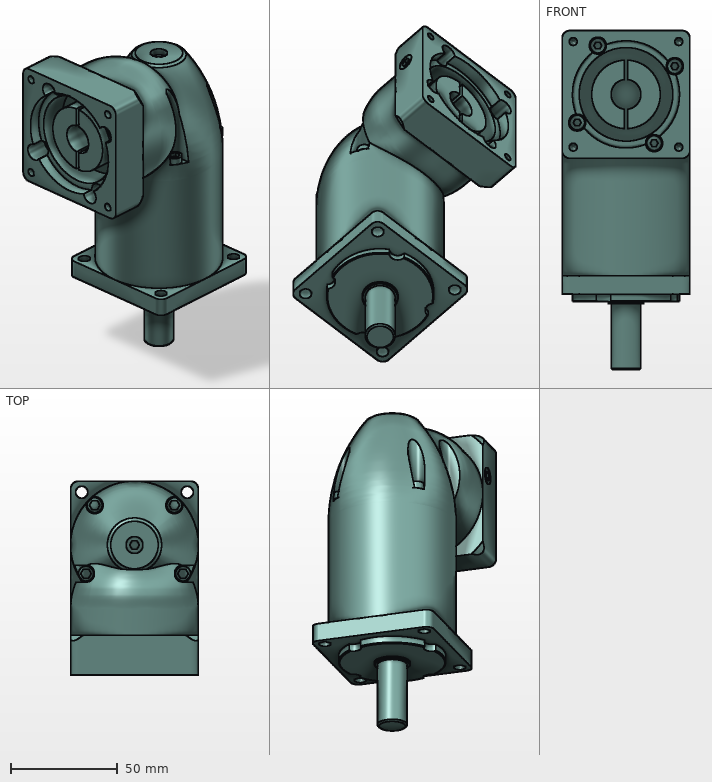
import cadquery as cq
import math


overall_height = 159
overall_depth = 91.0

flange_width = 60.0
corner_radius = 3.8
body_radius = flange_width / 2
corner_hole_pitch = 49.5
screw_circle_radius = 26.4

flange_thickness = 8.6
flange_hole_diameter = 5.5
pilot_radius = 25.1
pilot_height = 3.5
pilot_chamfer = 0.5
collar_radius = 8.5
collar_height = 1.1
collar_chamfer = 0.3
shaft_radius = 7.0
shaft_end_z = -35.5
shaft_chamfer = 0.8
recess_diameter = 8.0
pilot_recess_angle = -25

dome_base_z = 65.7
dome_middle_z = 91.0
dome_middle_radius = 26.2
dome_top_z = 117.8
dome_top_radius = 12.7
dome_top_chamfer_width = 1.6
dome_top_chamfer_height = 1.0

slot_floor_z = 73.8
rear_slot_angle = 45
front_slot_angle = -30.5

screw_head_diameter = 7.0
screw_head_height = 3.3
housing_socket_width = 4.3
adapter_socket_width = 3.2
screw_socket_depth = 1.9

plug_hole_diameter = 8.0
top_plug_depth = 3.2
side_plug_depth = 0.2
plug_socket_width = 4.0
plug_socket_depth = 1.9

input_axis_z = shaft_end_z + overall_height - flange_width / 2
input_round_y = -29.7
input_round_radius = 30.8
adapter_front_y = flange_width / 2 - overall_depth
adapter_thickness = 18.6
adapter_back_y = adapter_front_y + adapter_thickness
back_corner_radius = 38.5
back_corner_slope_width = 2.5
back_corner_depth = 2.7
motor_recess_radius = 25.1
motor_recess_depth = 5.5
cavity_radius = 22.0
motor_hole_diameter = 3.7
motor_hole_depth = 8.0
drill_point_angle = 118
adapter_screw_angle = 30
adapter_screw_recess_depth = 14.3
side_plug_y = -49.3
side_plug_height = 11.1

hub_radius = 16.0
hub_face_y = -55.3
hub_length = adapter_back_y - hub_face_y
hub_bore_radius = 7.0
hub_slot_width = 1.6


def at_angle(angle):
    """Point of the screw circle at an angle in degrees."""
    turn = math.radians(angle)
    return screw_circle_radius * math.cos(turn), screw_circle_radius * math.sin(turn)


def quarter_turns(start_angle):
    """Four points of the screw circle, a quarter turn apart."""
    return [at_angle(start_angle + 90 * step) for step in range(4)]


def hexagon(plane, width, depth):
    """Hexagonal prism growing along the plane's normal, sized across its flats."""
    return cq.Workplane(plane).polygon(6, width / math.cos(math.pi / 6)).extrude(depth)


def screw_head(base, socket_width):
    """Socket head standing on a plane whose normal points out of the part."""
    head = cq.Workplane(base).circle(screw_head_diameter / 2).extrude(screw_head_height)
    top = cq.Workplane(base).workplane(offset=screw_head_height).plane
    return head.cut(hexagon(top, socket_width, -screw_socket_depth))


def plug_recess(mouth, depth):
    """Round recess with a hexagon socket in its floor; the normal points out of the part."""
    recess = cq.Workplane(mouth).circle(plug_hole_diameter / 2).extrude(-depth)
    return recess.union(hexagon(mouth, plug_socket_width, -depth - plug_socket_depth))


def input_plane(y):
    """Plane across the input axis at a given Y, facing -Y."""
    return cq.Plane(origin=(0, y, input_axis_z), xDir=(1, 0, 0), normal=(0, -1, 0))


def square_flange(plane, thickness):
    return (
        cq.Workplane(plane)
        .rect(flange_width, flange_width)
        .extrude(thickness)
        .edges("|Z" if plane.zDir.z else "|Y")
        .fillet(corner_radius)
    )


def output_column():
    """Tube, dome and its chamfered flat top, turned about Z."""
    chamfer_z = dome_top_z - dome_top_chamfer_height
    return (
        cq.Workplane("XZ")
        .lineTo(body_radius, 0)
        .lineTo(body_radius, dome_base_z)
        .threePointArc((dome_middle_radius, dome_middle_z), (dome_top_radius, chamfer_z))
        .lineTo(dome_top_radius - dome_top_chamfer_width, dome_top_z)
        .lineTo(0, dome_top_z)
        .close()
        .revolve(360, (0, 0), (0, 1))
    )


def input_barrel():
    """Barrel along the input axis with a ball-shaped inner end."""
    arc_center_x = body_radius - input_round_radius
    nose_y = input_round_y + math.sqrt(input_round_radius**2 - arc_center_x**2)
    return (
        cq.Workplane("XY")
        .moveTo(0, adapter_back_y)
        .lineTo(body_radius, adapter_back_y)
        .lineTo(body_radius, input_round_y)
        .radiusArc((0, nose_y), -input_round_radius)
        .close()
        .revolve(360, (0, 0), (0, 1))
        .translate((0, 0, input_axis_z))
    )


def output_flange():
    holes = (
        cq.Workplane("XY")
        .rect(corner_hole_pitch, corner_hole_pitch, forConstruction=True)
        .vertices()
        .circle(flange_hole_diameter / 2)
        .extrude(flange_thickness)
    )
    return square_flange(cq.Plane.XY(), flange_thickness).cut(holes)


def output_pilot():
    """Centring disc with four round screw recesses in its rim."""
    pilot = (
        cq.Workplane("XY")
        .circle(pilot_radius)
        .extrude(-pilot_height)
        .faces("<Z")
        .chamfer(pilot_chamfer)
    )
    recesses = (
        cq.Workplane("XY")
        .pushPoints(quarter_turns(pilot_recess_angle))
        .circle(recess_diameter / 2)
        .extrude(-pilot_height)
    )
    return pilot.cut(recesses)


def output_shaft():
    collar = (
        cq.Workplane("XY")
        .circle(collar_radius)
        .extrude(-pilot_height - collar_height)
        .faces("<Z")
        .chamfer(collar_chamfer)
    )
    shaft = cq.Workplane("XY").circle(shaft_radius).extrude(shaft_end_z).faces("<Z").chamfer(shaft_chamfer)
    return collar.union(shaft)


def rear_slot_cutter(point):
    """Upright round slot that breaks out of the dome."""
    return (
        cq.Workplane("XY")
        .circle(recess_diameter / 2)
        .extrude(dome_top_z - slot_floor_z)
        .translate((*point, slot_floor_z))
    )


def front_slot_cutter(point):
    """Upright round-backed slot that opens sideways out of the dome."""
    x, y = point
    mouth_length = math.copysign(body_radius, x)
    mouth = (
        cq.Workplane("XY")
        .rect(body_radius, recess_diameter)
        .extrude(dome_top_z - slot_floor_z)
        .translate((x + mouth_length / 2, y, slot_floor_z))
    )
    return rear_slot_cutter(point).union(mouth)


def clamping_hub():
    """Split, bored hub standing on the end of the input barrel."""
    hub = cq.Workplane(input_plane(adapter_back_y)).circle(hub_radius).extrude(hub_length)
    face = cq.Workplane(input_plane(hub_face_y))
    slot = face.rect(hub_slot_width, 2 * hub_radius).extrude(-hub_length)
    bore = face.circle(hub_bore_radius).extrude(-hub_length)
    return hub.cut(slot).cut(bore)


def build_gearbox():
    body = output_column().union(input_barrel())
    rear_points = [at_angle(rear_slot_angle), at_angle(180 - rear_slot_angle)]
    front_points = [at_angle(front_slot_angle), at_angle(180 - front_slot_angle)]
    for point in rear_points:
        body = body.cut(rear_slot_cutter(point))
    for point in front_points:
        body = body.cut(front_slot_cutter(point))
    for point in rear_points + front_points:
        body = body.union(screw_head(cq.Plane(origin=(*point, slot_floor_z)), housing_socket_width))
    body = body.cut(plug_recess(cq.Plane(origin=(0, 0, dome_top_z)), top_plug_depth))
    for part in (output_flange(), output_pilot(), output_shaft(), clamping_hub()):
        body = body.union(part)
    return body


def back_corner_cone():
    """Envelope that slopes off the adapter's corners next to the barrel."""
    tip_radius = back_corner_radius + back_corner_slope_width
    return (
        cq.Workplane(input_plane(adapter_back_y))
        .circle(back_corner_radius)
        .workplane(offset=back_corner_depth)
        .circle(tip_radius)
        .loft(ruled=True)
        .union(
            cq.Workplane(input_plane(adapter_back_y - back_corner_depth))
            .circle(flange_width)
            .extrude(adapter_thickness)
        )
    )


def motor_hole():
    """Blind hole cutter with a drilled point, growing along +Y."""
    radius = motor_hole_diameter / 2
    point_height = radius / math.tan(math.radians(drill_point_angle / 2))
    return (
        cq.Workplane("XY")
        .lineTo(radius, 0)
        .lineTo(radius, motor_hole_depth)
        .lineTo(0, motor_hole_depth + point_height)
        .close()
        .revolve(360, (0, 0), (0, 1))
    )


def build_adapter():
    front = cq.Workplane(input_plane(adapter_front_y))
    body = square_flange(input_plane(adapter_back_y), adapter_thickness).intersect(back_corner_cone())
    body = body.cut(front.circle(motor_recess_radius).extrude(-motor_recess_depth))
    body = body.cut(front.circle(cavity_radius).extrude(-adapter_thickness))

    half_pitch = corner_hole_pitch / 2
    for x in (-half_pitch, half_pitch):
        for z in (-half_pitch, half_pitch):
            body = body.cut(motor_hole().translate((x, adapter_front_y, input_axis_z + z)))

    screw_points = quarter_turns(adapter_screw_angle)
    counterbores = front.pushPoints(screw_points).circle(recess_diameter / 2)
    body = body.cut(counterbores.extrude(-adapter_screw_recess_depth))
    head = screw_head(input_plane(adapter_front_y + adapter_screw_recess_depth), adapter_socket_width)
    for x, z in screw_points:
        body = body.union(head.translate((x, 0, z)))

    side_center = (-flange_width / 2, side_plug_y, input_axis_z + side_plug_height)
    side = cq.Plane(origin=side_center, xDir=(0, 1, 0), normal=(-1, 0, 0))
    return body.cut(plug_recess(side, side_plug_depth))


gearbox = build_gearbox()
adapter = build_adapter()
result = cq.Compound.makeCompound([gearbox.val(), adapter.val()])